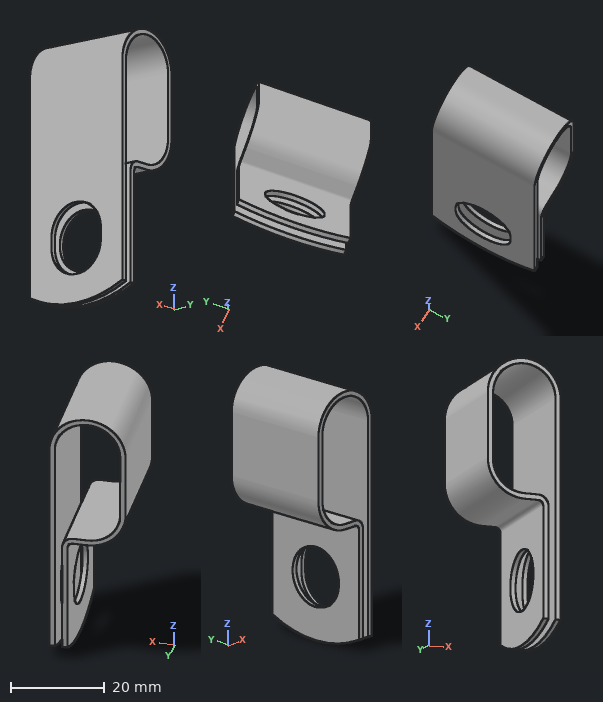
import cadquery as cq
import math

overall_width = 16.71
strap_width = 25.4
overall_height = 59.92
thickness = 1.21
leg_gap = 1.59
bend_inner_radius = thickness
hole_diameter = 13.5
slot_length = 15.88
hole_to_tip = 14.29
tip_radius = 28.58

outer_radius = overall_width / 2
inner_radius = outer_radius - thickness
loop_straight = 2 * inner_radius
bend_outer_radius = bend_inner_radius + thickness

lower_bend_z = -loop_straight
floor_top_z = lower_bend_z - inner_radius
floor_bottom_z = lower_bend_z - outer_radius
tip_z = outer_radius - overall_height
hole_z = tip_z + hole_to_tip

short_leg_right_x = inner_radius - leg_gap
short_leg_left_x = short_leg_right_x - thickness
gap_middle_x = short_leg_right_x + leg_gap / 2
leg_bend_x = short_leg_left_x - bend_inner_radius
leg_bend_z = floor_bottom_z - bend_inner_radius


def diagonal_point(center_x, center_z, radius, side_x, side_z):
    """Point halfway round a quarter arc, in the quadrant given by the two signs."""
    offset = radius * math.sqrt(0.5)
    return (center_x + side_x * offset, center_z + side_z * offset)


def make_strap():
    """Bent strip: long leg, loop, floor and short leg, centred on Y = 0."""
    return (
        cq.Workplane("XZ")
        .moveTo(outer_radius, tip_z)
        .lineTo(outer_radius, 0)
        .threePointArc((0, outer_radius), (-outer_radius, 0))
        .lineTo(-outer_radius, lower_bend_z)
        .threePointArc(diagonal_point(0, lower_bend_z, outer_radius, -1, -1), (0, floor_bottom_z))
        .lineTo(leg_bend_x, floor_bottom_z)
        .threePointArc(
            diagonal_point(leg_bend_x, leg_bend_z, bend_inner_radius, 1, 1),
            (short_leg_left_x, leg_bend_z),
        )
        .lineTo(short_leg_left_x, tip_z)
        .lineTo(short_leg_right_x, tip_z)
        .lineTo(short_leg_right_x, leg_bend_z)
        .threePointArc(
            diagonal_point(leg_bend_x, leg_bend_z, bend_outer_radius, 1, 1),
            (leg_bend_x, floor_top_z),
        )
        .lineTo(0, floor_top_z)
        .threePointArc(diagonal_point(0, lower_bend_z, inner_radius, -1, -1), (-inner_radius, lower_bend_z))
        .lineTo(-inner_radius, 0)
        .threePointArc((0, inner_radius), (inner_radius, 0))
        .lineTo(inner_radius, tip_z)
        .close()
        .extrude(strap_width / 2, both=True)
    )


def make_face_outline():
    """Block with a rounded lower end that trims both legs to the same arc."""
    half_width = strap_width / 2
    corner_z = tip_z + tip_radius - math.sqrt(tip_radius**2 - half_width**2)
    return (
        cq.Workplane("YZ")
        .moveTo(-half_width, outer_radius)
        .lineTo(-half_width, corner_z)
        .threePointArc((0, tip_z), (half_width, corner_z))
        .lineTo(half_width, outer_radius)
        .close()
        .extrude(outer_radius, both=True)
    )


def make_short_leg_hole():
    """Round bolt hole, reaching from the loop's -X side to the middle of the gap."""
    start_x = -outer_radius
    return (
        cq.Workplane("YZ", origin=(start_x, 0, hole_z))
        .circle(hole_diameter / 2)
        .extrude(gap_middle_x - start_x)
    )


def make_long_leg_slot():
    """Upright slot through the long leg, as wide as the bolt hole and centred on it."""
    return (
        cq.Workplane("YZ", origin=(gap_middle_x, 0, hole_z))
        .slot2D(slot_length, hole_diameter, 90)
        .extrude(outer_radius - gap_middle_x)
    )


strap = make_strap().intersect(make_face_outline())
result = strap.cut(make_short_leg_hole()).cut(make_long_leg_slot())